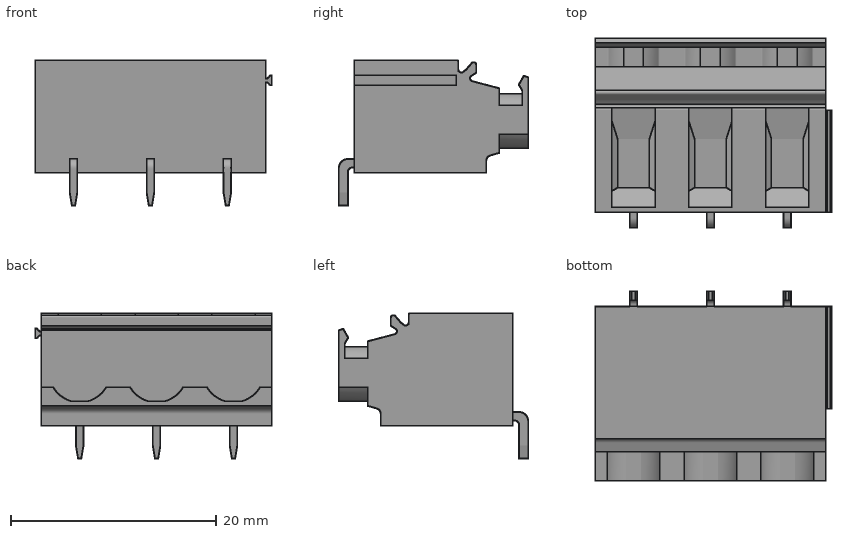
import cadquery as cq
import math

pole_count = 3
overall_length = 23.1
key_reach = 0.6
housing_length = overall_length - key_reach
housing_depth = 17.0
housing_height = 11.0
pole_pitch = housing_length / pole_count
pole_centers = [(index + 0.5) * pole_pitch for index in range(pole_count)]

block_depth = 10.19
block_edge_radius = 0.2
step_depth = 14.18
foot_depth = 12.91
foot_height = 1.57
foot_radius = 0.5
step_bottom = 1.95
shelf_bottom = 3.75
shelf_top = 6.6
step_top = 8.25

groove_bottom = 9.8
groove_wall_radius = 0.25
groove_floor_end = 10.55
groove_facet_depth = 10.79
groove_facet_height = 9.95
groove_ramp_depth = 10.95
groove_ramp_height = 10.1
hook_back = 11.92
hook_apex_height = 11.23
hook_tip_radius = 0.25
hook_heel = 9.75
notch_depth = 10.93
notch_height = 9.1
notch_radius = 0.28

lip_front = 16.4
lip_barb_depth = 16.08
lip_neck_height = 8.02
lip_barb_low = 8.55
lip_barb_high = 8.65
lip_crest_depth = 16.56
lip_crest_height = 9.47
lip_back_height = 9.3

socket_radius = 3.0
upper_socket_axis = 4.87
upper_socket_top = 7.72
socket_foot_radius = 0.18
lower_socket_axis = 5.3
lower_socket_bottom = 2.38

pocket_width = 4.2
pocket_floor_width = 3.1
pocket_front = 0.49
pocket_floor_front = 2.4
pocket_floor_back = 7.15
pocket_floor = 9.29
pocket_taper_top = 9.56
pocket_back_height = 9.77

key_height = 9.0
key_neck_reach = 0.16
key_flare_reach = 0.45
key_neck_half = 0.2
key_head_half = 0.49
key_depth = block_depth - block_edge_radius

pin_width = 0.76
pin_thickness = 0.92
pin_reach = 1.5
pin_top = 1.36
pin_underside = 0.5
pin_inner_radius = 0.42
pin_outer_radius = 0.92
pin_taper_start = -1.95
pin_tip = -3.2
pin_tip_width = 0.32


def rounded_outline(plane, corners):
    """Closed wire through (u, v, radius) corners, each corner rounded by a tangent arc if radius > 0."""
    outline = None
    for index, (u, v, radius) in enumerate(corners):
        corner = cq.Vector(u, v)
        to_previous = (cq.Vector(*corners[index - 1][:2]) - corner).normalized()
        to_next = (cq.Vector(*corners[(index + 1) % len(corners)][:2]) - corner).normalized()
        half_angle = to_previous.getAngle(to_next) / 2
        setback = radius / math.tan(half_angle)
        start = corner + to_previous * setback
        end = corner + to_next * setback
        bisector = (to_previous + to_next).normalized()
        middle = corner + bisector * (radius / math.sin(half_angle) - radius)
        if outline is None:
            outline = cq.Workplane(plane).moveTo(start.x, start.y)
        else:
            outline = outline.lineTo(start.x, start.y)
        if radius > 0:
            outline = outline.threePointArc((middle.x, middle.y), (end.x, end.y))
    return outline.close()


def make_housing_block():
    """Side outline of the housing in the YZ plane, extruded along the row of poles."""
    corners = [
        (0, 0, 0),
        (0, housing_height, 0),
        (block_depth, housing_height, block_edge_radius),
        (block_depth, groove_bottom, groove_wall_radius),
        (groove_floor_end, groove_bottom, 0),
        (groove_facet_depth, groove_facet_height, 0),
        (groove_ramp_depth, groove_ramp_height, 0),
        (hook_back, hook_apex_height, hook_tip_radius),
        (hook_back, hook_heel, 0),
        (notch_depth, notch_height, notch_radius),
        (step_depth, step_top, 0),
        (step_depth, shelf_top, 0),
        (lip_front, shelf_top, 0),
        (lip_front, lip_neck_height, 0),
        (lip_barb_depth, lip_barb_low, 0),
        (lip_barb_depth, lip_barb_high, 0),
        (lip_crest_depth, lip_crest_height, 0),
        (housing_depth, lip_back_height, 0),
        (housing_depth, shelf_bottom, 0),
        (step_depth, shelf_bottom, 0),
        (step_depth, step_bottom, 0),
        (foot_depth, foot_height, foot_radius),
        (foot_depth, 0, 0),
    ]
    return rounded_outline("YZ", corners).extrude(housing_length)


def make_upper_socket():
    """Flat-topped bulge on the shelf, between the step and the lip, blended into the shelf by a small arc."""
    flat_half = math.sqrt(socket_radius**2 - (upper_socket_top - upper_socket_axis) ** 2)
    blend_distance = socket_radius + socket_foot_radius
    blend_rise = shelf_top + socket_foot_radius - upper_socket_axis
    foot_half = math.sqrt(blend_distance**2 - blend_rise**2)
    side_half = foot_half * socket_radius / blend_distance
    side_height = upper_socket_axis + blend_rise * socket_radius / blend_distance
    return (
        cq.Workplane("XZ", origin=(0, lip_front, 0))
        .moveTo(-foot_half, shelf_top)
        .radiusArc((-side_half, side_height), -socket_foot_radius)
        .radiusArc((-flat_half, upper_socket_top), socket_radius)
        .lineTo(flat_half, upper_socket_top)
        .radiusArc((side_half, side_height), socket_radius)
        .radiusArc((foot_half, shelf_top), -socket_foot_radius)
        .close()
        .extrude(lip_front - step_depth)
    )


def make_lower_socket():
    """Flat-bottomed bulge under the shelf, from the step to the back face."""
    side_half = math.sqrt(socket_radius**2 - (lower_socket_axis - shelf_bottom) ** 2)
    flat_half = math.sqrt(socket_radius**2 - (lower_socket_axis - lower_socket_bottom) ** 2)
    return (
        cq.Workplane("XZ", origin=(0, housing_depth, 0))
        .moveTo(-side_half, shelf_bottom)
        .radiusArc((-flat_half, lower_socket_bottom), -socket_radius)
        .lineTo(flat_half, lower_socket_bottom)
        .radiusArc((side_half, shelf_bottom), -socket_radius)
        .close()
        .extrude(housing_depth - step_depth)
    )


def make_pocket():
    """Wire pocket: its lengthwise outline intersected with its cross outline."""
    lengthwise = (
        cq.Workplane("YZ")
        .moveTo(pocket_front, housing_height)
        .lineTo(pocket_floor_front, pocket_floor)
        .lineTo(pocket_floor_back, pocket_floor)
        .lineTo(block_depth, pocket_back_height)
        .lineTo(block_depth, housing_height)
        .close()
        .extrude(pocket_width / 2, both=True)
    )
    crosswise = (
        cq.Workplane("XZ")
        .moveTo(-pocket_width / 2, housing_height)
        .lineTo(-pocket_width / 2, pocket_taper_top)
        .lineTo(-pocket_floor_width / 2, pocket_floor)
        .lineTo(pocket_floor_width / 2, pocket_floor)
        .lineTo(pocket_width / 2, pocket_taper_top)
        .lineTo(pocket_width / 2, housing_height)
        .close()
        .extrude(-block_depth)
    )
    return lengthwise.intersect(crosswise)


def make_key():
    """Dovetail key along the +X end: a thin neck that flares into a flat head."""
    return (
        cq.Workplane("XZ", origin=(housing_length, 0, key_height))
        .moveTo(0, -key_neck_half)
        .lineTo(key_neck_reach, -key_neck_half)
        .lineTo(key_flare_reach, -key_head_half)
        .lineTo(key_reach, -key_head_half)
        .lineTo(key_reach, key_head_half)
        .lineTo(key_flare_reach, key_head_half)
        .lineTo(key_neck_reach, key_neck_half)
        .lineTo(0, key_neck_half)
        .close()
        .extrude(-key_depth)
    )


def make_housing():
    body = make_housing_block().union(make_key())
    for center in pole_centers:
        body = body.union(make_upper_socket().translate((center, 0, 0)))
        body = body.union(make_lower_socket().translate((center, 0, 0)))
        body = body.cut(make_pocket().translate((center, 0, 0)))
    return body


def make_pin(center):
    """Bent solder pin butting on the front face, its lower end narrowed to a tip."""
    pin_back = pin_thickness - pin_reach
    corners = [
        (0, pin_top, 0),
        (-pin_reach, pin_top, pin_outer_radius),
        (-pin_reach, pin_tip, 0),
        (pin_back, pin_tip, 0),
        (pin_back, pin_underside, pin_inner_radius),
        (0, pin_underside, 0),
    ]
    bent_bar = rounded_outline("YZ", corners).extrude(pin_width / 2, both=True)
    tapered_blade = (
        cq.Workplane("XZ")
        .moveTo(-pin_width / 2, pin_top)
        .lineTo(-pin_width / 2, pin_taper_start)
        .lineTo(-pin_tip_width / 2, pin_tip)
        .lineTo(pin_tip_width / 2, pin_tip)
        .lineTo(pin_width / 2, pin_taper_start)
        .lineTo(pin_width / 2, pin_top)
        .close()
        .extrude(pin_reach)
    )
    return bent_bar.intersect(tapered_blade).translate((center, 0, 0))


housing = make_housing()
pins = [make_pin(center) for center in pole_centers]

result = cq.Compound.makeCompound([body.solids().val() for body in [housing, *pins]])